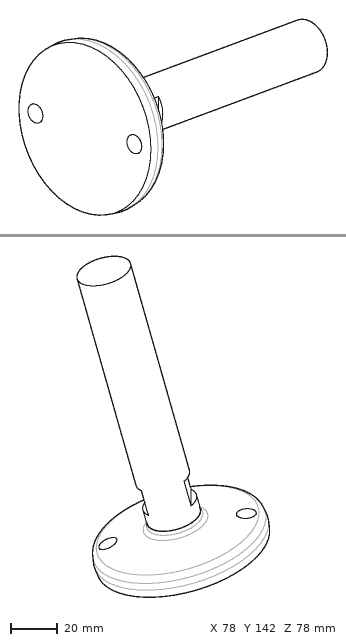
import cadquery as cq
import math

total_length = 142.0
stem_radius = 24.0 / 2

rim_radius = 78.0 / 2
rim_height = 4.0
bottom_radius = 38.5
shoulder_radius = 38.5
shoulder_height = 7.1
shoulder_rounding = 2.8
cone_angle = math.radians(10)


def shoulder_point(angle):
    """Point on the shoulder rounding, with the angle measured from the stem direction."""
    return (
        shoulder_radius - shoulder_rounding * (1 - math.sin(angle)),
        shoulder_height + shoulder_rounding * math.cos(angle),
    )


cone_start_radius, cone_start_height = shoulder_point(cone_angle)
cone_end_radius = 14.3
cone_end_height = cone_start_height + (cone_start_radius - cone_end_radius) * math.tan(cone_angle)

neck_radius = 11.8
flare_radius = 12.5
flare_height = 15.2
neck_height = 16.9

flat_distance = 19.0
flat_start = 24.1
flat_length = 12.5

hole_diameter = 8.5
hole_offset = 28.8
drill_overrun = 7.1
drill_length = cone_end_height + 2 * drill_overrun


def revolved_body():
    """Revolve the half outline of base, neck and stem about the Y axis."""
    return (
        cq.Workplane("XY")
        .lineTo(bottom_radius, 0)
        .lineTo(rim_radius, rim_height)
        .lineTo(shoulder_radius, shoulder_height)
        .threePointArc(shoulder_point(math.radians(45)), (cone_start_radius, cone_start_height))
        .lineTo(cone_end_radius, cone_end_height)
        .tangentArcPoint((flare_radius, flare_height), relative=False)
        .lineTo(neck_radius, neck_height)
        .lineTo(stem_radius, neck_height)
        .lineTo(stem_radius, total_length)
        .lineTo(0, total_length)
        .close()
        .revolve(360, (0, 0, 0), (0, 1, 0))
    )


def wrench_flat(side):
    """Block that cuts one flat into the stem; side is -1 or 1."""
    center = (side * (flat_distance / 2 + stem_radius / 2), flat_start + flat_length / 2, 0)
    return cq.Workplane("XY").box(stem_radius, flat_length, 2 * stem_radius).translate(center)


def fixing_hole(side):
    """Tilted drill that leans outward toward the cone; side is -1 or 1."""
    axis = cq.Vector(side * math.sin(cone_angle), math.cos(cone_angle), 0)
    start = cq.Vector(side * hole_offset, 0, 0) - axis * drill_overrun
    return cq.Workplane(cq.Solid.makeCylinder(hole_diameter / 2, drill_length, start, axis))


result = revolved_body()
for side in (-1, 1):
    result = result.cut(wrench_flat(side)).cut(fixing_hole(side))